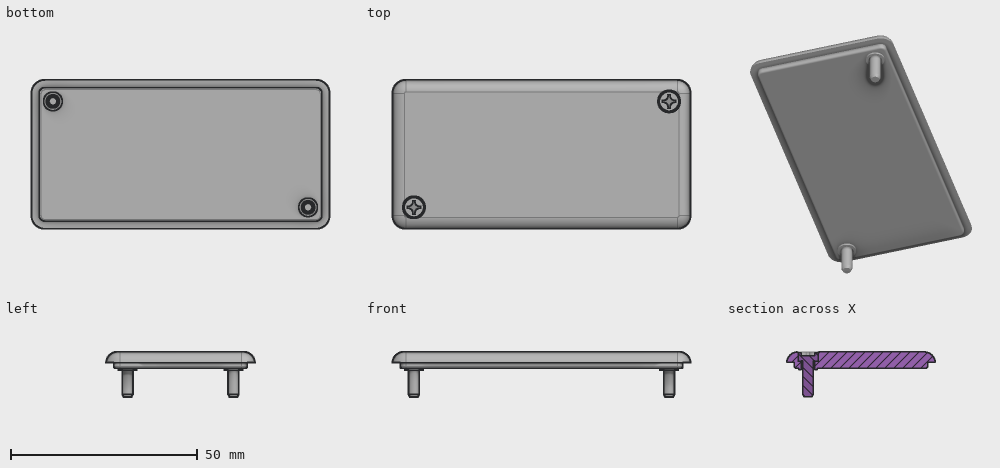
import cadquery as cq
import math

COVER_LENGTH = 80.0
COVER_WIDTH = 40.0
RIM_HEIGHT = 3.0
CORNER_RADIUS = 3.65
EDGE_ROUND_WIDTH = 3.2
EDGE_ROUND_RADIUS = (EDGE_ROUND_WIDTH**2 + RIM_HEIGHT**2) / (2 * RIM_HEIGHT)

LIP_INSET = 2.1
LIP_HEIGHT = 1.5
LIP_ROUND = 0.5

SCREW_INSET = 5.8
SCREW_X = COVER_LENGTH / 2 - SCREW_INSET
SCREW_Y = COVER_WIDTH / 2 - SCREW_INSET
SCREW_CENTRES = [(-SCREW_X, -SCREW_Y), (SCREW_X, SCREW_Y)]
SEAT_MOUTH_DIAMETER = 6.0
SEAT_DEPTH = 2.5
CLEARANCE_DIAMETER = 3.5
BOSS_DIAMETER = 5.0
BOSS_HEIGHT = 0.5

SCREW_TIP_Z = -12.22
HEAD_DIAMETER = 5.23
HEAD_TOP_Z = -0.2
SHANK_DIAMETER = 2.95
TIP_CHAMFER_WIDTH = 0.4
TIP_CHAMFER_HEIGHT = 0.8

CROSS_REACH = 1.8
CROSS_ARM_WIDTH = 0.6
CROSS_FLANK_RADIUS = 1.25
CROSS_DEPTH = 0.8

LIP_BOTTOM_Z = -RIM_HEIGHT - LIP_HEIGHT
BOSS_BOTTOM_Z = LIP_BOTTOM_Z - BOSS_HEIGHT


def rounded_block(length, width, corner_radius, bottom_z, top_z):
    """Rectangular block with rounded vertical edges."""
    block = cq.Workplane("XY", origin=(0, 0, bottom_z)).rect(length, width).extrude(top_z - bottom_z)
    return block.edges("|Z").fillet(corner_radius)


def arc_middle(start, end, radius):
    """Middle point of a minor arc that bulges to the left of the line from start to end."""
    run = end[0] - start[0]
    rise = end[1] - start[1]
    chord = math.hypot(run, rise)
    bulge = radius - math.sqrt(radius**2 - (chord / 2)**2)
    middle_x = (start[0] + end[0]) / 2 - bulge * rise / chord
    middle_y = (start[1] + end[1]) / 2 + bulge * run / chord
    return (middle_x, middle_y)


def make_rim():
    """Plate whose edge section is a convex arc, swept around the rounded outline."""
    left = -COVER_LENGTH / 2
    arc_start = (left, -RIM_HEIGHT)
    arc_end = (left + EDGE_ROUND_WIDTH, 0)
    core_x = left + CORNER_RADIUS
    envelope = rounded_block(COVER_LENGTH, COVER_WIDTH, CORNER_RADIUS, -RIM_HEIGHT, 0)
    outline = envelope.faces("<Z").wires()
    edge_section = (
        cq.Workplane("XZ")
        .moveTo(*arc_start)
        .threePointArc(arc_middle(arc_start, arc_end, EDGE_ROUND_RADIUS), arc_end)
        .lineTo(core_x, 0)
        .lineTo(core_x, -RIM_HEIGHT)
        .close()
    )
    edge = edge_section.sweep(outline)
    core = (
        cq.Workplane("XY", origin=(0, 0, -RIM_HEIGHT))
        .rect(COVER_LENGTH - 2 * CORNER_RADIUS, COVER_WIDTH - 2 * CORNER_RADIUS)
        .extrude(RIM_HEIGHT)
    )
    return core.union(edge)


def make_lip():
    lip = rounded_block(
        COVER_LENGTH - 2 * LIP_INSET,
        COVER_WIDTH - 2 * LIP_INSET,
        CORNER_RADIUS - LIP_INSET,
        LIP_BOTTOM_Z,
        -RIM_HEIGHT,
    )
    return lip.faces("<Z").edges().fillet(LIP_ROUND)


def cylinders(diameter, bottom_z, top_z):
    """One cylinder at each screw position."""
    base = cq.Workplane("XY", origin=(0, 0, bottom_z)).pushPoints(SCREW_CENTRES)
    return base.circle(diameter / 2).extrude(top_z - bottom_z)


def make_seat_mouth():
    """Cone that narrows from the top face to the rim of the screw head."""
    return (
        cq.Workplane("XY", origin=(0, 0, HEAD_TOP_Z))
        .circle(HEAD_DIAMETER / 2)
        .workplane(offset=-HEAD_TOP_Z)
        .circle(SEAT_MOUTH_DIAMETER / 2)
        .loft()
    )


def make_cover():
    cover = make_rim().union(make_lip())
    cover = cover.union(cylinders(BOSS_DIAMETER, BOSS_BOTTOM_Z, LIP_BOTTOM_Z))
    cover = cover.cut(cylinders(HEAD_DIAMETER, -SEAT_DEPTH, HEAD_TOP_Z))
    seat_mouth = make_seat_mouth()
    for centre in SCREW_CENTRES:
        cover = cover.cut(seat_mouth.translate((centre[0], centre[1], 0)))
    return cover.cut(cylinders(CLEARANCE_DIAMETER, BOSS_BOTTOM_Z, -SEAT_DEPTH))


def rotated(point, angle):
    """Point turned about the origin."""
    x, y = point
    return (x * math.cos(angle) - y * math.sin(angle), x * math.sin(angle) + y * math.cos(angle))


def make_cross_recess():
    """Four-armed recess with concave arcs joining neighbouring arms."""
    half_width = CROSS_ARM_WIDTH / 2
    floor_z = HEAD_TOP_Z - CROSS_DEPTH
    outline = cq.Workplane("XY", origin=(0, 0, floor_z)).moveTo(CROSS_REACH, -half_width)
    flank_start = (CROSS_REACH, half_width)
    flank_end = (half_width, CROSS_REACH)
    flank_middle = arc_middle(flank_start, flank_end, CROSS_FLANK_RADIUS)
    for quarter in range(4):
        turn = math.radians(90 * quarter)
        outline = outline.lineTo(*rotated(flank_start, turn))
        outline = outline.threePointArc(rotated(flank_middle, turn), rotated(flank_end, turn))
    return outline.close().extrude(CROSS_DEPTH)


def make_screw(centre):
    head_radius = HEAD_DIAMETER / 2
    shank_radius = SHANK_DIAMETER / 2
    screw = (
        cq.Workplane("XZ")
        .moveTo(0, HEAD_TOP_Z)
        .lineTo(head_radius, HEAD_TOP_Z)
        .lineTo(head_radius, -SEAT_DEPTH)
        .lineTo(shank_radius, -SEAT_DEPTH)
        .lineTo(shank_radius, SCREW_TIP_Z + TIP_CHAMFER_HEIGHT)
        .lineTo(shank_radius - TIP_CHAMFER_WIDTH, SCREW_TIP_Z)
        .lineTo(0, SCREW_TIP_Z)
        .close()
        .revolve(360, (0, 0, 0), (0, 1, 0))
    )
    return screw.cut(make_cross_recess()).translate((centre[0], centre[1], 0))


cover = make_cover()
screws = [make_screw(centre) for centre in SCREW_CENTRES]
result = cq.Compound.makeCompound([cover.val(), *[screw.val() for screw in screws]])